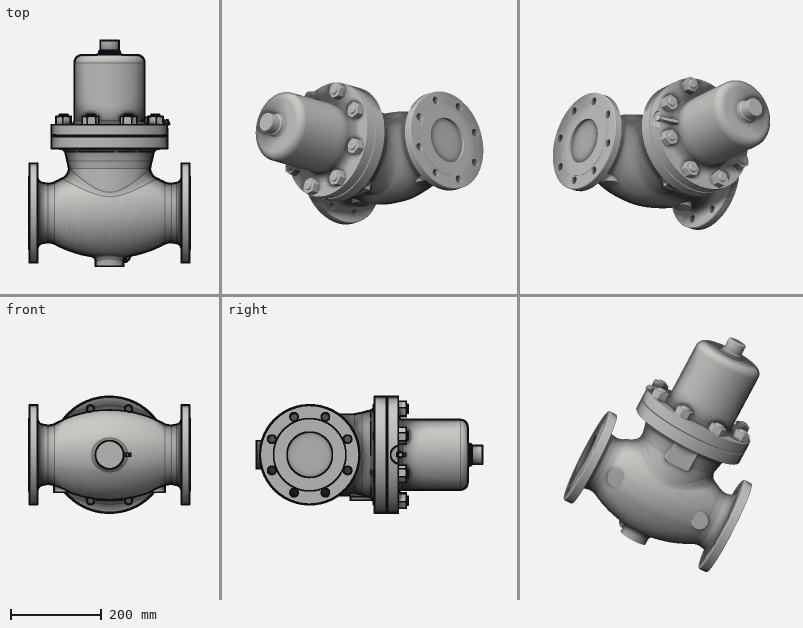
import cadquery as cq
import math


FACE_X = 178.1
RAISED_FACE_HEIGHT = 1.0
RAISED_FACE_RADIUS = 79.5
END_FLANGE_RADIUS = 110.0
END_FLANGE_BACK_X = 157.5
END_FLANGE_CHAMFER = 1.5
BORE_DIAMETER = 100.0
BORE_DEPTH = 8.5
END_BOLT_CIRCLE = 180.5
END_BOLT_HOLE = 18.0
BELLY_RADIUS = 98.5
BELLY_END_X = 121.0
BELLY_END_RADIUS = 68.0
WAIST_X = 135.5
WAIST_RADIUS = 65.0
NECK_END_X = 146.5
NECK_END_RADIUS = 67.0
NECK_ROOT_RADIUS = 76.0

BRANCH_RADIUS = 89.5
BRANCH_CONE_START_Y = 98.0
BRANCH_CONE_MID_Y = 114.5
BRANCH_CONE_MID_RADIUS = 93.0
BRANCH_CONE_END_Y = 134.5
BRANCH_CONE_END_RADIUS = 97.9
BRANCH_ROOT_RADIUS = 109.0
BRANCH_BODY_FILLET = 25.0
JOINT_RADIUS = 128.5
JOINT_CHAMFER = 1.5
BODY_FLANGE_BOTTOM_Y = 141.5
BODY_FLANGE_TOP_Y = 168.5
GASKET_RADIUS = 118.5
COVER_FLANGE_BOTTOM_Y = 171.5
COVER_FLANGE_TOP_Y = 195.0

BONNET_RADIUS = 77.5
BONNET_TOP_Y = 348.0
BONNET_TOP_FILLET = 17.5
BONNET_ROOT_FILLET = 9.0
STEM_TOP_Y = 380.5
STEM_RADIUS = 21.0
STEM_CHAMFER = 1.5
COLLAR_RADIUS = 24.0
COLLAR_BOTTOM_Y = 351.0
COLLAR_TOP_Y = 354.5
COLLAR_CONE_TOP_Y = 357.5
COLLAR_ROOT_RADIUS = 27.5

BOLT_COUNT = 8
STUD_CIRCLE_RADIUS = 109.0
STUD_DIAMETER = 20.0
STUD_TAIL_DIAMETER = 17.5
STUD_CHAMFER = 1.5
STUD_TAIL_CHAMFER = 1.0
STUD_BOTTOM_Y = 140.0
STUD_TOP_Y = 217.0
NUT_CORNER_DIAMETER = 37.0
NUT_HEIGHT = 18.0
NUT_CHAMFER = 1.5

DRAIN_RADIUS = 31.0
DRAIN_END_Y = -117.5
DRAIN_ROOT_FILLET = 10.0

LUG_THICKNESS = 6.0
LUG_HOLE_DIAMETER = 3.0
DRAIN_LUG_OUTLINE = [(30, -89.5), (47.0, -94.0), (43.0, -102.5), (36.5, -108.0), (30, -108.0)]
DRAIN_LUG_HOLE = (36.0, -102.0)
COVER_LUG_OUTLINE = [(74.5, 192.5), (74.5, 211.0), (84.5, 211.0), (122.5, 204.5), (120.5, 192.5)]
COVER_LUG_HOLE = (117.5, 201.0)
PLUG_DIAMETER = 13.0
PLUG_TILT = 22.0
PLUG_HEIGHT = 11.0
PLUG_SEAT_X = 120.0
PLUG_SEAT_Y = 196.5
PLUG_SEAT_DIAMETER = 40.0
NAME_PAD_LENGTH = 52.0
NAME_PAD_START_Y = 89.5
NAME_PAD_WIDTH = 56.0
NAME_PAD_CORNER = 6.0
NAME_PAD_Z = -100.0
NAME_PAD_HEIGHT = 7.5
NAME_PAD_FLARE_HEIGHT = 10.0
NAME_PAD_FLARE = 30.0
FOOT_DIAMETER = 38.0
FOOT_X = 103.5
FOOT_Z = -82.5
FOOT_HEIGHT = 30.0
SELECT_MARGIN = 5.0


def ring_of_points(radius):
    """Bolt positions straddling the two centre lines."""
    step = 360 / BOLT_COUNT
    angles = [math.radians(step * (i + 0.5)) for i in range(BOLT_COUNT)]
    return [(radius * math.cos(a), radius * math.sin(a)) for a in angles]


def y_cylinder(radius, start_y, end_y):
    """Cylinder on the bonnet axis."""
    plane = cq.Plane(origin=(0, start_y, 0), xDir=(1, 0, 0), normal=(0, 1, 0))
    return cq.Workplane(plane).circle(radius).extrude(end_y - start_y)


def make_pipe():
    """Barrel-shaped body and the necks, revolved about X."""
    root_middle = (
        END_FLANGE_BACK_X - 0.35 * (END_FLANGE_BACK_X - NECK_END_X),
        NECK_END_RADIUS + 0.3 * (NECK_ROOT_RADIUS - NECK_END_RADIUS),
    )
    waist_middle = (
        (BELLY_END_X + WAIST_X) / 2,
        WAIST_RADIUS + 0.3 * (BELLY_END_RADIUS - WAIST_RADIUS),
    )
    profile = (
        cq.Workplane("XY")
        .moveTo(0, 0)
        .lineTo(END_FLANGE_BACK_X, 0)
        .lineTo(END_FLANGE_BACK_X, NECK_ROOT_RADIUS)
        .threePointArc(root_middle, (NECK_END_X, NECK_END_RADIUS))
        .lineTo(WAIST_X, WAIST_RADIUS)
        .threePointArc(waist_middle, (BELLY_END_X, BELLY_END_RADIUS))
        .threePointArc((0, BELLY_RADIUS), (-BELLY_END_X, BELLY_END_RADIUS))
        .threePointArc((-waist_middle[0], waist_middle[1]), (-WAIST_X, WAIST_RADIUS))
        .lineTo(-NECK_END_X, NECK_END_RADIUS)
        .threePointArc((-root_middle[0], root_middle[1]), (-END_FLANGE_BACK_X, NECK_ROOT_RADIUS))
        .lineTo(-END_FLANGE_BACK_X, 0)
        .close()
    )
    return profile.revolve(360, (0, 0, 0), (1, 0, 0))


def make_end_flange(side):
    """Drilled end flange with a raised face and a blind bore; side is +1 or -1."""
    plane = cq.Plane(
        origin=(side * END_FLANGE_BACK_X, 0, 0), xDir=(0, 1, 0), normal=(side, 0, 0)
    )
    thickness = FACE_X - RAISED_FACE_HEIGHT - END_FLANGE_BACK_X
    flange = (
        cq.Workplane(plane)
        .circle(END_FLANGE_RADIUS)
        .extrude(thickness)
        .edges()
        .chamfer(END_FLANGE_CHAMFER)
    )
    raised_face = (
        cq.Workplane(plane)
        .circle(RAISED_FACE_RADIUS)
        .extrude(thickness + RAISED_FACE_HEIGHT)
    )
    holes = (
        cq.Workplane(plane)
        .pushPoints(ring_of_points(END_BOLT_CIRCLE / 2))
        .circle(END_BOLT_HOLE / 2)
        .extrude(thickness)
    )
    bore = (
        cq.Workplane(plane)
        .workplane(offset=thickness + RAISED_FACE_HEIGHT - BORE_DEPTH)
        .circle(BORE_DIAMETER / 2)
        .extrude(BORE_DEPTH)
    )
    return flange.union(raised_face).cut(holes).cut(bore)


def make_branch():
    """Branch that widens toward the body flange and reaches into it, revolved about Y."""
    root_top_y = (BODY_FLANGE_BOTTOM_Y + BODY_FLANGE_TOP_Y) / 2
    root_middle = (
        BRANCH_CONE_END_RADIUS + 0.33 * (BRANCH_ROOT_RADIUS - BRANCH_CONE_END_RADIUS),
        BRANCH_CONE_END_Y + 0.65 * (BODY_FLANGE_BOTTOM_Y - BRANCH_CONE_END_Y),
    )
    return (
        cq.Workplane("XY")
        .lineTo(BRANCH_RADIUS, 0)
        .lineTo(BRANCH_RADIUS, BRANCH_CONE_START_Y)
        .lineTo(BRANCH_CONE_MID_RADIUS, BRANCH_CONE_MID_Y)
        .lineTo(BRANCH_CONE_END_RADIUS, BRANCH_CONE_END_Y)
        .threePointArc(root_middle, (BRANCH_ROOT_RADIUS, BODY_FLANGE_BOTTOM_Y))
        .lineTo(BRANCH_ROOT_RADIUS, root_top_y)
        .lineTo(0, root_top_y)
        .close()
        .revolve(360, (0, 0, 0), (0, 1, 0))
    )


def make_body():
    """Pipe with the branch and the drain boss blended into it."""
    branch_reach = BRANCH_RADIUS + SELECT_MARGIN
    blend_zone = cq.selectors.BoxSelector(
        (-branch_reach, SELECT_MARGIN, -branch_reach),
        (branch_reach, BRANCH_CONE_START_Y - SELECT_MARGIN, branch_reach),
    )
    body = make_pipe().union(make_branch())
    body = body.edges(blend_zone).fillet(BRANCH_BODY_FILLET)
    drain_reach = DRAIN_RADIUS + SELECT_MARGIN
    drain_zone = cq.selectors.BoxSelector(
        (-drain_reach, DRAIN_END_Y + SELECT_MARGIN, -drain_reach),
        (drain_reach, -BELLY_END_RADIUS, drain_reach),
    )
    body = body.union(y_cylinder(DRAIN_RADIUS, DRAIN_END_Y, -BELLY_END_RADIUS))
    return body.edges(drain_zone).fillet(DRAIN_ROOT_FILLET)


def make_joint():
    """Body flange, gasket and cover flange."""
    body_flange = y_cylinder(JOINT_RADIUS, BODY_FLANGE_BOTTOM_Y, BODY_FLANGE_TOP_Y)
    body_flange = body_flange.faces("<Y").edges().chamfer(JOINT_CHAMFER)
    gasket = y_cylinder(GASKET_RADIUS, BODY_FLANGE_TOP_Y, COVER_FLANGE_BOTTOM_Y)
    cover_flange = y_cylinder(JOINT_RADIUS, COVER_FLANGE_BOTTOM_Y, COVER_FLANGE_TOP_Y)
    return body_flange.union(gasket).union(cover_flange)


def make_bonnet():
    """Rounded cylinder with the stem on top, revolved about Y."""
    slant = math.sqrt(0.5)
    top_middle = (
        BONNET_RADIUS - BONNET_TOP_FILLET * (1 - slant),
        BONNET_TOP_Y - BONNET_TOP_FILLET * (1 - slant),
    )
    root_middle = (
        BONNET_RADIUS + BONNET_ROOT_FILLET * (1 - slant),
        COVER_FLANGE_TOP_Y + BONNET_ROOT_FILLET * (1 - slant),
    )
    return (
        cq.Workplane("XY")
        .moveTo(0, COVER_FLANGE_TOP_Y)
        .lineTo(BONNET_RADIUS + BONNET_ROOT_FILLET, COVER_FLANGE_TOP_Y)
        .threePointArc(root_middle, (BONNET_RADIUS, COVER_FLANGE_TOP_Y + BONNET_ROOT_FILLET))
        .lineTo(BONNET_RADIUS, BONNET_TOP_Y - BONNET_TOP_FILLET)
        .threePointArc(top_middle, (BONNET_RADIUS - BONNET_TOP_FILLET, BONNET_TOP_Y))
        .lineTo(COLLAR_ROOT_RADIUS, BONNET_TOP_Y)
        .lineTo(COLLAR_RADIUS, COLLAR_BOTTOM_Y)
        .lineTo(COLLAR_RADIUS, COLLAR_TOP_Y)
        .lineTo(STEM_RADIUS, COLLAR_CONE_TOP_Y)
        .lineTo(STEM_RADIUS, STEM_TOP_Y - STEM_CHAMFER)
        .lineTo(STEM_RADIUS - STEM_CHAMFER, STEM_TOP_Y)
        .lineTo(0, STEM_TOP_Y)
        .close()
        .revolve(360, (0, 0, 0), (0, 1, 0))
    )


def make_stud_with_nut():
    """One stud and its nut on the +X side, a nut corner pointing outward."""
    nut_plane = cq.Plane(
        origin=(STUD_CIRCLE_RADIUS, COVER_FLANGE_TOP_Y, 0), xDir=(1, 0, 0), normal=(0, 1, 0)
    )
    chamfered_round = (
        cq.Workplane(nut_plane)
        .circle(NUT_CORNER_DIAMETER / 2)
        .extrude(NUT_HEIGHT)
        .faces(">Y")
        .edges()
        .chamfer(NUT_CHAMFER)
    )
    nut = (
        cq.Workplane(nut_plane)
        .polygon(6, NUT_CORNER_DIAMETER)
        .extrude(NUT_HEIGHT)
        .intersect(chamfered_round)
    )
    stud = (
        y_cylinder(STUD_DIAMETER / 2, BODY_FLANGE_TOP_Y, STUD_TOP_Y)
        .faces(">Y")
        .edges()
        .chamfer(STUD_CHAMFER)
    )
    tail = (
        y_cylinder(STUD_TAIL_DIAMETER / 2, STUD_BOTTOM_Y, BODY_FLANGE_TOP_Y)
        .faces("<Y")
        .edges()
        .chamfer(STUD_TAIL_CHAMFER)
    )
    return stud.union(tail).translate((STUD_CIRCLE_RADIUS, 0, 0)).union(nut)


def make_lug(outline, hole_centre):
    """Flat web in the XY plane with a small hole for a seal wire."""
    web = cq.Workplane("XY").polyline(outline).close().extrude(LUG_THICKNESS / 2, both=True)
    hole = (
        cq.Workplane("XY")
        .center(*hole_centre)
        .circle(LUG_HOLE_DIAMETER / 2)
        .extrude(LUG_THICKNESS, both=True)
    )
    return web.cut(hole)


def make_plug_parts():
    """Hex plug on a slanted seat, and the cutter that makes the seat."""
    tilt = math.radians(PLUG_TILT)
    seat = cq.Plane(
        origin=(PLUG_SEAT_X, PLUG_SEAT_Y, 0),
        xDir=(0, 0, 1),
        normal=(math.cos(tilt), math.sin(tilt), 0),
    )
    cutter = cq.Workplane(seat).circle(PLUG_SEAT_DIAMETER / 2).extrude(PLUG_SEAT_DIAMETER)
    plug = cq.Workplane(seat).polygon(6, PLUG_DIAMETER).extrude(PLUG_HEIGHT)
    return plug, cutter


def make_name_pad():
    """Rounded pad on the -Z side of the branch; it flares out at its root."""
    pad = (
        cq.Workplane("XY", origin=(0, NAME_PAD_START_Y + NAME_PAD_LENGTH / 2, NAME_PAD_Z))
        .rect(NAME_PAD_WIDTH, NAME_PAD_LENGTH)
        .extrude(NAME_PAD_HEIGHT)
        .edges("|Z")
        .fillet(NAME_PAD_CORNER)
    )
    root = pad.faces(">Z").wires().toPending()
    return root.extrude(NAME_PAD_FLARE_HEIGHT, taper=-NAME_PAD_FLARE)


def make_feet():
    """Two round feet under the pipe body."""
    return (
        cq.Workplane("XY", origin=(0, 0, FOOT_Z))
        .pushPoints([(-FOOT_X, 0), (FOOT_X, 0)])
        .circle(FOOT_DIAMETER / 2)
        .extrude(FOOT_HEIGHT)
    )


drain_lug = make_lug(DRAIN_LUG_OUTLINE, DRAIN_LUG_HOLE)
cover_lug = make_lug(COVER_LUG_OUTLINE, COVER_LUG_HOLE)
plug, plug_seat_cutter = make_plug_parts()

result = make_body()
for side in (1, -1):
    result = result.union(make_end_flange(side))
result = result.union(make_joint().cut(plug_seat_cutter)).union(make_bonnet())
stud_with_nut = make_stud_with_nut()
for i in range(BOLT_COUNT):
    angle = 360 / BOLT_COUNT * (i + 0.5)
    result = result.union(stud_with_nut.rotate((0, 0, 0), (0, 1, 0), angle))
for detail in (drain_lug, cover_lug, plug, make_name_pad(), make_feet()):
    result = result.union(detail)